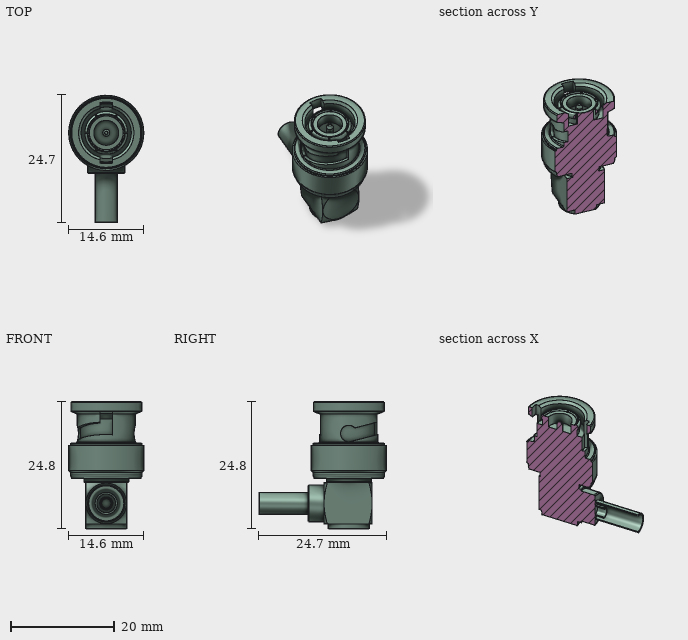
import cadquery as cq
import math


BLOCK_HALF = 4.0
BLOCK_FRONT = 4.83
BLOCK_BACK = 4.55
BLOCK_CROWN_RADIUS = 3.93
BLOCK_CROWN_ANGLE = 20.0

CAP_RADIUS = BLOCK_HALF
CAP_BOTTOM = -5.0
CAP_CHAMFER = 0.15
NECK_RADIUS = 4.37
NECK_CHAMFER = 0.2

BOSS_RADIUS = 3.61
BOSS_END = 7.9
BOSS_CHAMFER = 0.2
TUBE_RADIUS = 2.15
TUBE_BORE_RADIUS = 1.82
TUBE_END = 17.4
FERRULE_RADIUS = 1.28
FERRULE_LENGTH = 2.0
FERRULE_CHAMFER = 0.18
FERRULE_BORE_RADIUS = 0.9

COLLAR_BOTTOM = 4.86
COLLAR_TOP = 11.73
COLLAR_RADIUS = 6.98
COLLAR_TOP_CHAMFER = 0.2
COLLAR_FOOT_RADIUS = 6.72
COLLAR_TAPER_RADIUS = 6.93
COLLAR_TAPER_TOP = 5.58
COLLAR_TAPER_BOTTOM = 5.3
GRIP_RADIUS = 7.3
GRIP_BOTTOM = 6.35
GRIP_TOP = 11.26
SLEEVE_RADIUS = 5.65
SLEEVE_FLARE = 0.2
RIM_RADIUS = 6.9
RIM_TOP = 19.75
RIM_CHAMFER = 0.2
RIM_CONE_TOP = 17.8
RIM_CONE_BOTTOM = 17.33
RIM_LIP = 0.15
MOUTH_RADIUS = 4.87
MOUTH_CHAMFER = 0.5

FLOOR = 16.4
GUIDE_FLOOR_RADIUS = 5.0
KEYWAY_WIDTH = 2.4
KEYWAY_RADIUS = 6.0
GUIDE_WIDTH = 2.36
GUIDE_ANGLE = 14.4
DETENT_RADIUS = 1.6
DETENT_HEIGHT = 13.56

SPRING_TOP = 18.9
SPRING_RADIUS = 4.15
SPRING_TOP_RADIUS = 3.69
SPRING_STEM_RADIUS = 3.85
SPRING_BULGE_HEIGHT = 18.3
SPRING_BULGE_BOTTOM = 17.6
SPRING_BORE_RADIUS = 3.28
SPRING_BORE_CHAMFER = 0.25
SLIT_WIDTH = 0.25
SLIT_COUNT = 6
INSULATOR_TOP = 18.7
INSULATOR_BORE_RADIUS = 2.42
PIN_RADIUS = 0.68
PIN_TIP_RADIUS = 0.31
PIN_SHOULDER = 17.8
PIN_TOP = 18.4

REACH = 10.0


def turned(points):
    """Solid of revolution about Z from (radius, height) points."""
    return cq.Workplane("XZ").polyline(points).close().revolve(360, (0, 0, 0), (0, 1, 0))


def rod(radius, bottom, top):
    return cq.Workplane("XY").workplane(offset=bottom).circle(radius).extrude(top - bottom)


def cable_rod(radius, start, end):
    """Cylinder on the cable axis between two distances toward -Y."""
    return cq.Workplane("XZ").workplane(offset=start).circle(radius).extrude(end - start)


def housing():
    block = cq.Workplane("XY").box(
        2 * BLOCK_HALF, BLOCK_FRONT + BLOCK_BACK, 2 * BLOCK_HALF
    ).translate((0, (BLOCK_BACK - BLOCK_FRONT) / 2, 0))
    crown_drop = (REACH - BLOCK_CROWN_RADIUS) * math.tan(math.radians(BLOCK_CROWN_ANGLE))
    envelope = (
        cq.Workplane("XY")
        .moveTo(0, -BLOCK_FRONT)
        .lineTo(BLOCK_CROWN_RADIUS, -BLOCK_FRONT)
        .lineTo(REACH, crown_drop - BLOCK_FRONT)
        .lineTo(REACH, BLOCK_BACK - crown_drop)
        .lineTo(BLOCK_CROWN_RADIUS, BLOCK_BACK)
        .lineTo(0, BLOCK_BACK)
        .close()
        .revolve(360, (0, 0, 0), (0, 1, 0))
    )
    cap = rod(CAP_RADIUS, CAP_BOTTOM, 0).faces("<Z").chamfer(CAP_CHAMFER)
    neck = rod(NECK_RADIUS, BLOCK_HALF, COLLAR_BOTTOM).faces("<Z").chamfer(NECK_CHAMFER)
    return block.intersect(envelope).union(cap).union(neck)


def cable_outlet():
    boss = cable_rod(BOSS_RADIUS, 0, BOSS_END).faces("<Y").chamfer(BOSS_CHAMFER)
    return boss.union(cable_rod(TUBE_RADIUS, 0, TUBE_END))


def cable_bore():
    """Tube bore with the inner ferrule left standing at its end."""
    ferrule_end = BOSS_END + FERRULE_LENGTH
    ferrule = cable_rod(FERRULE_RADIUS, BOSS_END, ferrule_end).faces("<Y").chamfer(FERRULE_CHAMFER)
    ferrule = ferrule.cut(cable_rod(FERRULE_BORE_RADIUS, BOSS_END, ferrule_end))
    return cable_rod(TUBE_BORE_RADIUS, BOSS_END, TUBE_END).cut(ferrule)


def coupling_nut():
    body = turned([
        (0, COLLAR_BOTTOM),
        (COLLAR_FOOT_RADIUS, COLLAR_BOTTOM),
        (COLLAR_TAPER_RADIUS, COLLAR_TAPER_BOTTOM),
        (COLLAR_RADIUS, COLLAR_TAPER_TOP),
        (COLLAR_RADIUS, GRIP_BOTTOM - (GRIP_RADIUS - COLLAR_RADIUS)),
        (GRIP_RADIUS, GRIP_BOTTOM),
        (GRIP_RADIUS, GRIP_TOP),
        (COLLAR_RADIUS, GRIP_TOP),
        (COLLAR_RADIUS, COLLAR_TOP - COLLAR_TOP_CHAMFER),
        (COLLAR_RADIUS - COLLAR_TOP_CHAMFER, COLLAR_TOP),
        (SLEEVE_RADIUS + SLEEVE_FLARE, COLLAR_TOP),
        (SLEEVE_RADIUS, COLLAR_TOP + SLEEVE_FLARE),
        (SLEEVE_RADIUS, RIM_CONE_BOTTOM),
        (RIM_RADIUS - RIM_LIP, RIM_CONE_TOP),
        (RIM_RADIUS, RIM_CONE_TOP + RIM_LIP),
        (RIM_RADIUS, RIM_TOP - RIM_CHAMFER),
        (RIM_RADIUS - RIM_CHAMFER, RIM_TOP),
        (0, RIM_TOP),
    ])
    mouth = turned([
        (0, FLOOR),
        (MOUTH_RADIUS, FLOOR),
        (MOUTH_RADIUS, RIM_TOP - MOUTH_CHAMFER),
        (MOUTH_RADIUS + MOUTH_CHAMFER, RIM_TOP),
        (0, RIM_TOP),
    ])
    keyways = (
        cq.Workplane("XY").box(KEYWAY_WIDTH, 2 * REACH, RIM_TOP - FLOOR, centered=(True, True, False))
        .translate((0, 0, FLOOR))
        .intersect(rod(KEYWAY_RADIUS, FLOOR, RIM_TOP))
    )
    return body.cut(mouth).cut(keyways)


def bayonet_guide():
    """Sloped guide from the -Y keyway to the round detent on -X, as a cutter."""
    angle = math.radians(GUIDE_ANGLE)
    slope = math.tan(angle)
    lower_at_axis = DETENT_HEIGHT - DETENT_RADIUS / math.cos(angle)
    upper_at_axis = lower_at_axis + GUIDE_WIDTH / math.cos(angle)
    tangent_y = DETENT_RADIUS * math.sin(angle)
    half_key = KEYWAY_WIDTH / 2

    ramp = (
        cq.Workplane("YZ").workplane(offset=-REACH)
        .moveTo(tangent_y, lower_at_axis - slope * tangent_y)
        .lineTo(-REACH, lower_at_axis + slope * REACH)
        .lineTo(-REACH, upper_at_axis + slope * REACH)
        .lineTo(tangent_y, upper_at_axis - slope * tangent_y)
        .close()
        .extrude(REACH + half_key)
    )
    detent = (
        cq.Workplane("YZ").workplane(offset=-REACH)
        .center(0, DETENT_HEIGHT).circle(DETENT_RADIUS).extrude(REACH)
    )
    entry = (
        cq.Workplane("YZ").workplane(offset=-half_key)
        .moveTo(0, lower_at_axis)
        .lineTo(-REACH, lower_at_axis + slope * REACH)
        .lineTo(-REACH, FLOOR)
        .lineTo(0, FLOOR)
        .close()
        .extrude(KEYWAY_WIDTH)
    )
    wall = rod(KEYWAY_RADIUS, 0, RIM_TOP).cut(rod(GUIDE_FLOOR_RADIUS, 0, RIM_TOP))
    return ramp.union(detent).union(entry).intersect(wall)


def spring_contact():
    """Slotted outer contact with a rounded bulge near its mouth."""
    ring = (
        cq.Workplane("XZ")
        .moveTo(SPRING_BORE_RADIUS, FLOOR)
        .lineTo(SPRING_STEM_RADIUS, FLOOR)
        .lineTo(SPRING_STEM_RADIUS, SPRING_BULGE_BOTTOM)
        .threePointArc((SPRING_RADIUS, SPRING_BULGE_HEIGHT), (SPRING_TOP_RADIUS, SPRING_TOP))
        .lineTo(SPRING_BORE_RADIUS + SPRING_BORE_CHAMFER, SPRING_TOP)
        .lineTo(SPRING_BORE_RADIUS, SPRING_TOP - SPRING_BORE_CHAMFER)
        .close()
        .revolve(360, (0, 0, 0), (0, 1, 0))
    )
    for index in range(SLIT_COUNT):
        slit = (
            cq.Workplane("XY")
            .box(REACH, SLIT_WIDTH, SPRING_TOP - FLOOR, centered=(False, True, False))
            .translate((0, 0, FLOOR))
            .rotate((0, 0, 0), (0, 0, 1), index * 360 / SLIT_COUNT)
        )
        ring = ring.cut(slit)
    return ring


def insulator():
    body = rod(SPRING_BORE_RADIUS, FLOOR, INSULATOR_TOP)
    return body.cut(rod(INSULATOR_BORE_RADIUS, FLOOR, INSULATOR_TOP))


def centre_pin():
    return turned([
        (0, FLOOR),
        (PIN_RADIUS, FLOOR),
        (PIN_RADIUS, PIN_SHOULDER),
        (PIN_TIP_RADIUS, PIN_TOP),
        (0, PIN_TOP),
    ])


nut = coupling_nut()
for turn in (0, 180):
    nut = nut.cut(bayonet_guide().rotate((0, 0, 0), (0, 0, 1), turn))

connector = housing().union(cable_outlet()).cut(cable_bore()).union(nut)
interface = insulator().union(spring_contact()).union(centre_pin())

result = connector.union(interface)